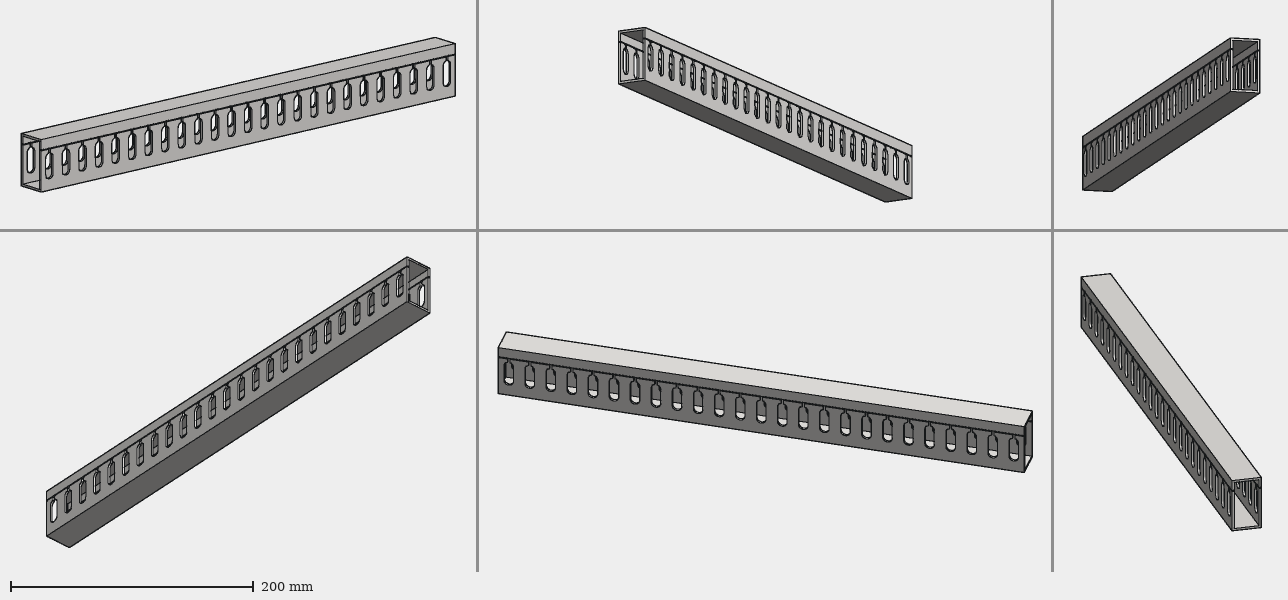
import cadquery as cq

LENGTH = 450.0
WIDTH = 25.0
HEIGHT = 45.0

WALL = 2.0
LID_HEIGHT = 9.0
LID_GAP = 0.7
TRUNK_HEIGHT = HEIGHT - LID_HEIGHT - LID_GAP

SLOT_COUNT = 25
SLOT_PITCH = LENGTH / SLOT_COUNT
SLOT_WIDTH = 8.0
SLOT_HEIGHT = 22.0
SLOT_BOTTOM = 10.0
SLOT_MIDDLE = SLOT_BOTTOM + SLOT_HEIGHT / 2
NECK_WIDTH = 2.0


def channel(height):
    """U channel along Y, centred on the Z axis, with its floor on Z = 0 and its top open."""
    outside = cq.Workplane("XY").box(WIDTH, LENGTH, height, centered=(True, True, False))
    inside = (
        cq.Workplane("XY")
        .workplane(offset=WALL)
        .box(WIDTH - 2 * WALL, LENGTH, height, centered=(True, True, False))
    )
    return outside.cut(inside)


def slot_cutter(y):
    """Upright round-ended slot at position y, with a narrow neck that opens at the trunk's top edge."""
    slot = (
        cq.Workplane("YZ")
        .center(y, SLOT_MIDDLE)
        .slot2D(SLOT_HEIGHT, SLOT_WIDTH, angle=90)
        .extrude(WIDTH / 2, both=True)
    )
    neck_height = TRUNK_HEIGHT - SLOT_MIDDLE
    neck = (
        cq.Workplane("YZ")
        .center(y, SLOT_MIDDLE + neck_height / 2)
        .rect(NECK_WIDTH, neck_height)
        .extrude(WIDTH / 2, both=True)
    )
    return slot.union(neck)


def make_trunk():
    """Slotted channel that forms the floor and the side walls of the duct."""
    body = channel(TRUNK_HEIGHT)
    first_y = (SLOT_PITCH - LENGTH) / 2
    for index in range(SLOT_COUNT):
        body = body.cut(slot_cutter(first_y + index * SLOT_PITCH))
    return body


def make_lid():
    """Shallow upside-down channel held just above the top edges of the trunk."""
    return channel(LID_HEIGHT).mirror("XY").translate((0, 0, HEIGHT))


trunk = make_trunk().solids()
lid = make_lid().solids()

result = cq.Compound.makeCompound([trunk.val(), lid.val()])